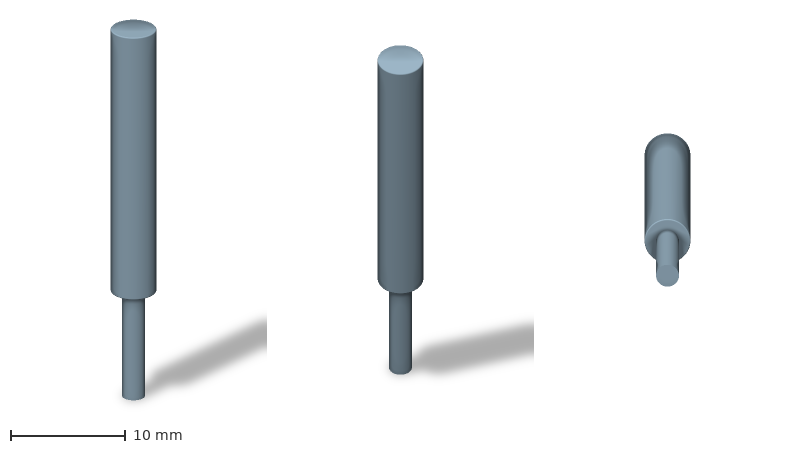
import cadquery as cq

total_length = 35.0
body_diameter = 4.0
stem_diameter = 2.0
stem_length = 10.0
rim_radius = 0.1

body_length = total_length - stem_length

body = (
    cq.Workplane("XY", origin=(0, 0, stem_length))
    .circle(body_diameter / 2)
    .extrude(body_length)
    .edges("%CIRCLE")
    .fillet(rim_radius)
)

stem = cq.Workplane("XY").circle(stem_diameter / 2).extrude(stem_length)

result = body.union(stem)